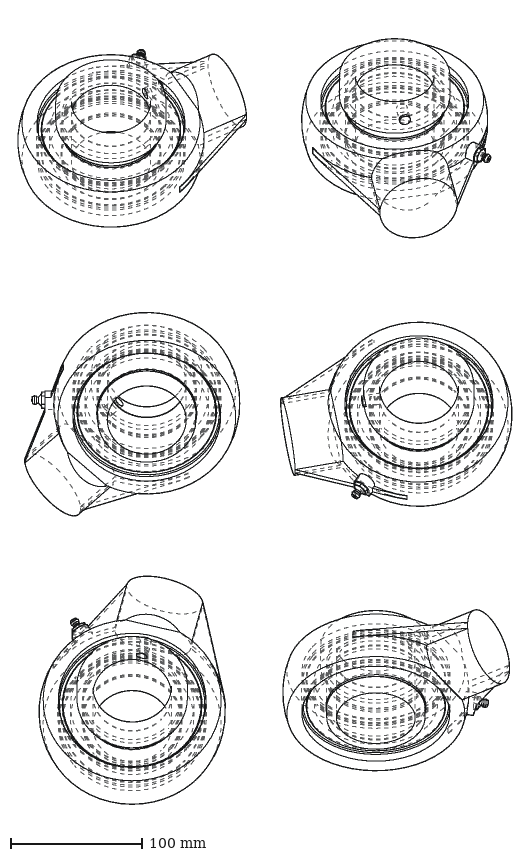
import cadquery as cq
import math


sphere_radius = 71.0
housing_width = 42.2
housing_bore_dia = 112.64
housing_bore_chamfer = 1.0

shank_radius = 30.0
shank_end_y = 101.6
shank_root_y = 60.0
shank_bevel_angle = 60.0

web_thickness = 6.0
web_end_y = 22.1
web_rim_radius = 71.2

boss_angle = 135.0
boss_radius = 7.0
boss_axis_z = 5.0
boss_end = 77.6
boss_root = 62.0

hex_across_flats = 10.9
hex_end = 80.1
fitting_cone_dia = 10.0
fitting_neck_start = 82.3
fitting_neck_dia = 5.0
fitting_head_start = 83.8
fitting_head_back_dia = 6.0
fitting_head_peak = 85.4
fitting_head_dia = 6.8
fitting_head_end = 87.2
fitting_head_front_dia = 5.2
fitting_ball_dia = 2.26
fitting_ball_centre = 86.6

outer_ring_width = 26.8
outer_ring_corner_radius = housing_bore_dia / 2 - housing_bore_chamfer
outer_ring_sphere_radius = math.hypot(outer_ring_corner_radius, outer_ring_width / 2)
raceway_dia = 93.94

seal_thickness = 2.0
seal_edge_chamfer = 0.6
seal_seat_dia = 106.4
seal_seat_depth = seal_thickness - seal_edge_chamfer
seal_rim_dia = 100.08
seal_dish_rise = 0.3
seal_lip_base_dia = 76.33
seal_lip_tip_dia = 75.56
seal_lip_height = 1.3

shaft_dia = 60.0
inner_ring_dia = 74.93
inner_ring_bottom_z = -25.5
inner_ring_top_z = 30.3
inner_ring_fillet = 0.9

collar_dia = 84.2
collar_bottom_z = 24.2
collar_top_z = 46.77
collar_fillet = 1.0
collar_bore_fillet = 0.8

screw_dia = 8.38
screw_z = 38.85
screw_inner_y = 34.1
screw_outer_y = 43.9


def cylinder(diameter, bottom_z, top_z):
    """Cylinder on the bearing axis."""
    return cq.Workplane("XY").workplane(offset=bottom_z).circle(diameter / 2).extrude(top_z - bottom_z)


def turned(profile):
    """Solid turned about the bearing axis from a closed (radius, z) profile."""
    return cq.Workplane("XZ").polyline(profile).close().revolve(360, (0, 0, 0), (0, 1, 0))


def radial_plane(distance):
    """Plane across the lubrication axis, with its local Y along +Z."""
    angle = math.radians(boss_angle)
    outward = (math.cos(angle), math.sin(angle), 0)
    origin = (distance * outward[0], distance * outward[1], boss_axis_z)
    return cq.Plane(origin=origin, xDir=(-outward[1], outward[0], 0), normal=outward)


def make_shank():
    """Round shank whose root is bevelled down to the two flat faces of the housing."""
    half_width = housing_width / 2
    root_circle_y = math.sqrt(sphere_radius**2 - shank_radius**2)
    bevel_length = (shank_radius - half_width) / math.tan(math.radians(shank_bevel_angle))
    bevel_end_y = root_circle_y + bevel_length
    side_profile = [
        (shank_root_y, half_width),
        (root_circle_y, half_width),
        (bevel_end_y, shank_radius),
        (shank_end_y, shank_radius),
        (shank_end_y, -shank_radius),
        (bevel_end_y, -shank_radius),
        (root_circle_y, -half_width),
        (shank_root_y, -half_width),
    ]
    slab = cq.Workplane("YZ").polyline(side_profile).close().extrude(shank_radius, both=True)
    bar = cq.Workplane("XZ").circle(shank_radius).extrude(-shank_end_y)
    return slab.intersect(bar)


def make_web():
    """Flat web from the shank corners along tangents to the ring, then round its rim."""
    corner_distance = math.hypot(shank_radius, shank_end_y)
    corner_angle = math.atan2(shank_end_y, shank_radius)
    tangent_angle = corner_angle - math.acos(web_rim_radius / corner_distance)
    end_angle = math.asin(web_end_y / web_rim_radius)

    def rim_point(angle, side):
        return (side * web_rim_radius * math.cos(angle), web_rim_radius * math.sin(angle))

    middle_angle = (tangent_angle + end_angle) / 2
    outline = (
        cq.Workplane("XY")
        .workplane(offset=-web_thickness / 2)
        .moveTo(-shank_radius, shank_end_y)
        .lineTo(shank_radius, shank_end_y)
        .lineTo(*rim_point(tangent_angle, 1))
        .threePointArc(rim_point(middle_angle, 1), rim_point(end_angle, 1))
        .lineTo(*rim_point(end_angle, -1))
        .threePointArc(rim_point(middle_angle, -1), rim_point(tangent_angle, -1))
        .close()
    )
    return outline.extrude(web_thickness)


def make_lubrication_boss():
    """Boss with an arched top that stands on the level of the web's lower face."""
    foot = -web_thickness / 2 - boss_axis_z
    return (
        cq.Workplane(radial_plane(boss_root))
        .moveTo(-boss_radius, foot)
        .lineTo(boss_radius, foot)
        .lineTo(boss_radius, 0)
        .threePointArc((0, boss_radius), (-boss_radius, 0))
        .close()
        .extrude(boss_end - boss_root)
    )


def make_housing_bore():
    """Spherical seat of the outer ring, opening through a chamfer into a wider bore at each face."""
    half_width = housing_width / 2
    bore_radius = housing_bore_dia / 2
    ring_face_z = outer_ring_width / 2
    chamfer_end_z = ring_face_z + housing_bore_chamfer
    return (
        cq.Workplane("XZ")
        .moveTo(0, -half_width)
        .lineTo(bore_radius, -half_width)
        .lineTo(bore_radius, -chamfer_end_z)
        .lineTo(outer_ring_corner_radius, -ring_face_z)
        .threePointArc((outer_ring_sphere_radius, 0), (outer_ring_corner_radius, ring_face_z))
        .lineTo(bore_radius, chamfer_end_z)
        .lineTo(bore_radius, half_width)
        .lineTo(0, half_width)
        .close()
        .revolve(360, (0, 0, 0), (0, 1, 0))
    )


def make_housing():
    ring = cq.Workplane("XY").sphere(sphere_radius)
    ring = ring.intersect(cylinder(2 * sphere_radius, -housing_width / 2, housing_width / 2))
    body = ring.union(make_shank()).union(make_web()).union(make_lubrication_boss())
    return body.cut(make_housing_bore())


def make_grease_fitting():
    """Hexagon, cone, neck and double-tapered head with a small ball at the tip."""
    hex_corner_dia = hex_across_flats / math.cos(math.pi / 6)
    hexagon = (
        cq.Workplane(radial_plane(boss_end))
        .transformed(rotate=(0, 0, 90))
        .polygon(6, hex_corner_dia)
        .extrude(hex_end - boss_end)
    )
    stations = [
        (fitting_cone_dia, hex_end),
        (fitting_neck_dia, fitting_neck_start),
        (fitting_neck_dia, fitting_head_start),
        (fitting_head_back_dia, fitting_head_start),
        (fitting_head_dia, fitting_head_peak),
        (fitting_head_front_dia, fitting_head_end),
    ]
    profile = [(diameter / 2, distance - boss_end) for diameter, distance in stations]
    profile = [(0, hex_end - boss_end)] + profile + [(0, fitting_head_end - boss_end)]
    base = radial_plane(boss_end)
    lengthwise = cq.Plane(origin=base.origin, xDir=base.xDir, normal=-base.yDir)
    nipple = cq.Workplane(lengthwise).polyline(profile).close().revolve(360, (0, 0, 0), (0, 1, 0))
    ball = cq.Workplane(radial_plane(fitting_ball_centre)).sphere(fitting_ball_dia / 2)
    return hexagon.union(nipple).union(ball)


def make_outer_ring():
    """Bearing outer ring with a spherical rim and a seal seat at each end."""
    half_width = outer_ring_width / 2
    seat_floor_z = half_width - seal_seat_depth
    ring = cq.Workplane("XY").sphere(outer_ring_sphere_radius)
    ring = ring.intersect(cylinder(2 * outer_ring_sphere_radius, -half_width, half_width))
    ring = ring.cut(cylinder(raceway_dia, -half_width, half_width))
    ring = ring.cut(cylinder(seal_seat_dia, seat_floor_z, half_width))
    return ring.cut(cylinder(seal_seat_dia, -half_width, -seat_floor_z))


def make_seal(side):
    """Dished seal with a lip around the inner ring, above (1) or below (-1) the raceway."""
    seat_z = outer_ring_width / 2 - seal_seat_depth
    rim_z = seat_z + seal_thickness
    lip_z = rim_z + seal_dish_rise
    profile = [
        (inner_ring_dia / 2, seat_z),
        (seal_seat_dia / 2, seat_z),
        (seal_seat_dia / 2, rim_z - seal_edge_chamfer),
        (seal_seat_dia / 2 - seal_edge_chamfer, rim_z),
        (seal_rim_dia / 2, rim_z),
        (seal_lip_base_dia / 2, lip_z),
        (seal_lip_tip_dia / 2, lip_z + seal_lip_height),
        (inner_ring_dia / 2, lip_z + seal_lip_height),
    ]
    return turned([(radius, side * z) for radius, z in profile])


def make_inner_ring():
    ring = cylinder(inner_ring_dia, inner_ring_bottom_z, inner_ring_top_z)
    ring = ring.faces("<Z").fillet(inner_ring_fillet)
    ring = ring.cut(cylinder(shaft_dia, inner_ring_bottom_z, inner_ring_top_z))
    bore_mouth = ring.faces(">Z").edges(cq.selectors.RadiusNthSelector(0))
    return bore_mouth.fillet(inner_ring_fillet)


def screw_bar(start_y, end_y):
    """Cylinder on the axis of the set screw."""
    start = cq.Workplane("XZ", origin=(0, start_y, screw_z))
    return start.circle(screw_dia / 2).extrude(start_y - end_y)


def make_collar():
    """Locking collar that fits over the top of the inner ring."""
    collar = cylinder(collar_dia, collar_bottom_z, collar_top_z).edges().fillet(collar_fillet)
    collar = collar.cut(cylinder(shaft_dia, collar_bottom_z, collar_top_z))
    bore_mouth = collar.faces(">Z").edges(cq.selectors.RadiusNthSelector(0))
    collar = bore_mouth.fillet(collar_bore_fillet)
    collar = collar.cut(cylinder(inner_ring_dia, collar_bottom_z, inner_ring_top_z))
    return collar.cut(screw_bar(0, collar_dia))


housing = make_housing()
grease_fitting = make_grease_fitting()
outer_ring = make_outer_ring()
seals = [make_seal(side) for side in (1, -1)]
inner_ring = make_inner_ring()
collar = make_collar()
set_screw = screw_bar(screw_inner_y, screw_outer_y)

result = cq.Compound.makeCompound(
    [
        housing.val(),
        grease_fitting.val(),
        outer_ring.val(),
        *[seal.val() for seal in seals],
        inner_ring.val(),
        collar.val(),
        set_screw.val(),
    ]
)